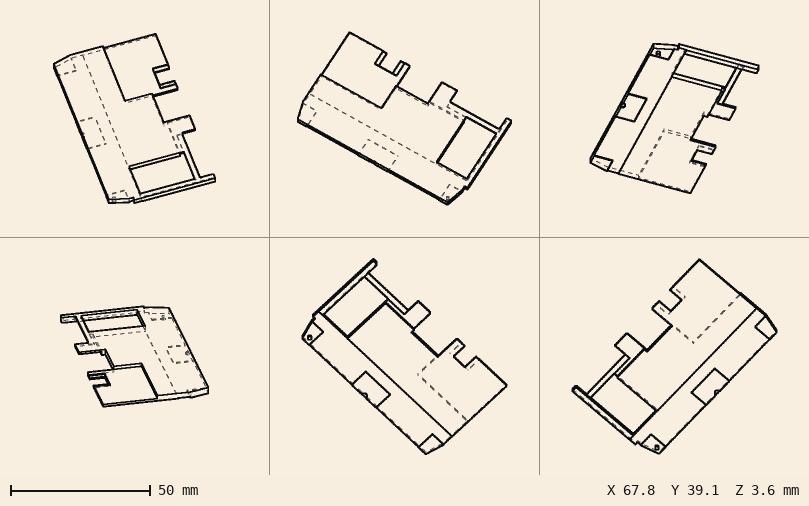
import cadquery as cq

LENGTH = 67.8
WIDTH = 39.1
PLATE_DEPTH = 2.2
FRONT_DEPTH = 2.0
FOOT_DEPTH = 2.4
TAB_DEPTH = 0.9
BAR_DEPTH = 0.55
OVERALL_DEPTH = 3.6

CORNER_HEIGHT = 6.9
LEFT_CORNER = 1.9
RIGHT_STEP_X = 66.65
RIGHT_STEP_Y = 8.6
FRONT_RIGHT_X = 64.7

GAP_LEFT = 25.35
GAP_RIGHT = 38.65
GAP_FLOOR = 29.35
TAB_RIGHT = 45.0
BAY_RIGHT = 65.75
BAY_FLOOR = 34.05
BAY_FILLET = 0.55
REAR_FILLET = 0.5

WINDOW_LEFT = 53.15
WINDOW_BOTTOM = 11.45
WINDOW_TOP = 32.1

RECESS_FRONT = 19.2
RECESS_DEPTH = 1.2
NOTCH_LEFT = 15.65
NOTCH_RIGHT = 21.4
NOTCH_FLOOR = 33.5
LEDGE_LEFT = 14.1
LEDGE_RIGHT = 23.2
LEDGE_FRONT = 33.3
LEDGE_DROP = 0.4

RELIEF_FRONT = 30.7
FOOT_WIDTH = 7.1
FOOT_SPANS = [(0, 5.6), (27.1, 39.5), (61.1, RIGHT_STEP_X)]
SCALLOP_RADIUS = 1.15
PIN_X = 63.2
PIN_Y = 2.4
PIN_RADIUS = 0.7


def block(x_min, x_max, y_min, y_max, z_min, z_max):
    """Box given by its limits along each axis."""
    return cq.Workplane("XY").box(
        x_max - x_min, y_max - y_min, z_max - z_min, centered=False
    ).translate((x_min, y_min, z_min))


def vertical_edge(x, y):
    """Selector for the vertical outline edge through one corner."""
    margin = 0.1
    return cq.selectors.BoxSelector(
        (x - margin, y - margin, -OVERALL_DEPTH), (x + margin, y + margin, OVERALL_DEPTH)
    )


def full_outline():
    """Plate outline at foot thickness, with rounded corners at the gap and bay."""
    points = [
        (LEFT_CORNER, 0), (FRONT_RIGHT_X, 0),
        (RIGHT_STEP_X, CORNER_HEIGHT), (RIGHT_STEP_X, RIGHT_STEP_Y),
        (LENGTH, RIGHT_STEP_Y), (LENGTH, WIDTH),
        (BAY_RIGHT, WIDTH), (BAY_RIGHT, BAY_FLOOR),
        (TAB_RIGHT, BAY_FLOOR), (TAB_RIGHT, WIDTH),
        (GAP_RIGHT, WIDTH), (GAP_RIGHT, GAP_FLOOR),
        (GAP_LEFT, GAP_FLOOR), (GAP_LEFT, WIDTH),
        (0, WIDTH), (0, CORNER_HEIGHT),
    ]
    plate = cq.Workplane("XY").polyline(points).close().extrude(-FOOT_DEPTH)
    for x in (TAB_RIGHT, BAY_RIGHT):
        plate = plate.edges(vertical_edge(x, BAY_FLOOR)).fillet(BAY_FILLET)
    for x in (GAP_LEFT, GAP_RIGHT, BAY_RIGHT):
        plate = plate.edges(vertical_edge(x, WIDTH)).fillet(REAR_FILLET)
    return plate


def shape_underside(plate):
    """Leave the feet standing below the front strip and the rear area."""
    plate = plate.cut(block(0, LENGTH, FOOT_WIDTH, WIDTH, -FOOT_DEPTH, -PLATE_DEPTH))
    plate = plate.cut(block(0, LENGTH, FOOT_WIDTH, WINDOW_BOTTOM, -FOOT_DEPTH, -FRONT_DEPTH))
    for left_foot, right_foot in zip(FOOT_SPANS, FOOT_SPANS[1:]):
        plate = plate.cut(
            block(left_foot[1], right_foot[0], 0, FOOT_WIDTH, -FOOT_DEPTH, -FRONT_DEPTH)
        )
    plate = plate.cut(
        block(GAP_RIGHT, BAY_RIGHT, RELIEF_FRONT, WIDTH, -FOOT_DEPTH, -TAB_DEPTH)
    )
    plate = plate.cut(
        block(TAB_RIGHT, BAY_RIGHT, WINDOW_TOP, WIDTH, -FOOT_DEPTH, -BAR_DEPTH)
    )
    scallop_x = sum(FOOT_SPANS[1]) / 2
    scallop = (
        cq.Workplane("XY", origin=(scallop_x, 0, -FOOT_DEPTH))
        .circle(SCALLOP_RADIUS)
        .extrude(FOOT_DEPTH - FRONT_DEPTH)
    )
    return plate.cut(scallop)


def cut_openings(plate):
    """Window, top recess and stepped notch."""
    window = block(WINDOW_LEFT, BAY_RIGHT, WINDOW_BOTTOM, WINDOW_TOP, -FOOT_DEPTH, 0)
    recess = block(0, GAP_LEFT, RECESS_FRONT, WIDTH, -RECESS_DEPTH, 0)
    notch = block(NOTCH_LEFT, NOTCH_RIGHT, NOTCH_FLOOR, WIDTH, -FOOT_DEPTH, 0)
    ledge_z = -RECESS_DEPTH - LEDGE_DROP
    ledge = block(LEDGE_LEFT, LEDGE_RIGHT, LEDGE_FRONT, WIDTH, ledge_z, 0)
    return plate.cut(window).cut(recess).cut(notch).cut(ledge)


def pin():
    """Locating pin below the right foot, rooted in the plate."""
    return (
        cq.Workplane("XY", origin=(PIN_X, PIN_Y, -OVERALL_DEPTH))
        .circle(PIN_RADIUS)
        .extrude(OVERALL_DEPTH - FRONT_DEPTH)
    )


result = cut_openings(shape_underside(full_outline())).union(pin())